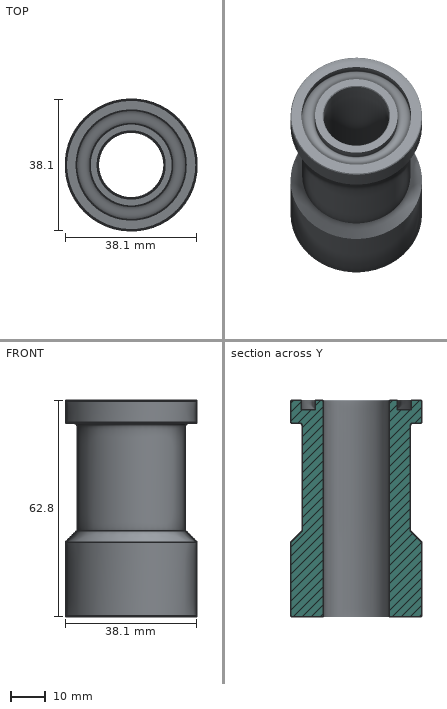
import cadquery as cq

length = 62.75
outer_diameter = 38.1
neck_diameter = 31.4
bore_diameter = 19.1

base_height = 21.6
flange_thickness = 6.7

groove_depth = 2.75
groove_outer_diameter = 31.75
groove_inner_diameter = 23.9
groove_floor_radius = 0.2

edge_chamfer = 0.25
neck_fillet_radius = 0.8

outer_radius = outer_diameter / 2
neck_radius = neck_diameter / 2
bore_radius = bore_diameter / 2
flange_bottom = length - flange_thickness
shoulder_top = base_height + outer_radius - neck_radius


def make_body():
    """Revolve the base, shoulder, neck and flange around the Z axis."""
    profile = [
        (bore_radius, 0),
        (outer_radius, 0),
        (outer_radius, base_height),
        (neck_radius, shoulder_top),
        (neck_radius, flange_bottom),
        (outer_radius, flange_bottom),
        (outer_radius, length),
        (bore_radius, length),
    ]
    return cq.Workplane("XZ").polyline(profile).close().revolve(360, (0, 0), (0, 1))


def make_groove():
    """Ring removed from the top face, with rounded corners at its floor."""
    floor = length - groove_depth
    ring = (
        cq.Workplane("XY", origin=(0, 0, floor))
        .circle(groove_outer_diameter / 2)
        .circle(groove_inner_diameter / 2)
        .extrude(groove_depth)
    )
    return ring.faces("<Z").edges().fillet(groove_floor_radius)


def circle_at(body, radius, height):
    """Select the circular edge with the given radius at the given height."""
    tolerance = 0.005
    return body.edges("%CIRCLE").filter(
        lambda edge: abs(edge.radius() - radius) < tolerance
        and abs(edge.Center().z - height) < tolerance
    )


body = make_body()
body = circle_at(body, neck_radius, flange_bottom).fillet(neck_fillet_radius)
for height in (0, flange_bottom, length):
    body = circle_at(body, outer_radius, height).chamfer(edge_chamfer)
body = circle_at(body, bore_radius, length).chamfer(edge_chamfer)

result = body.cut(make_groove())